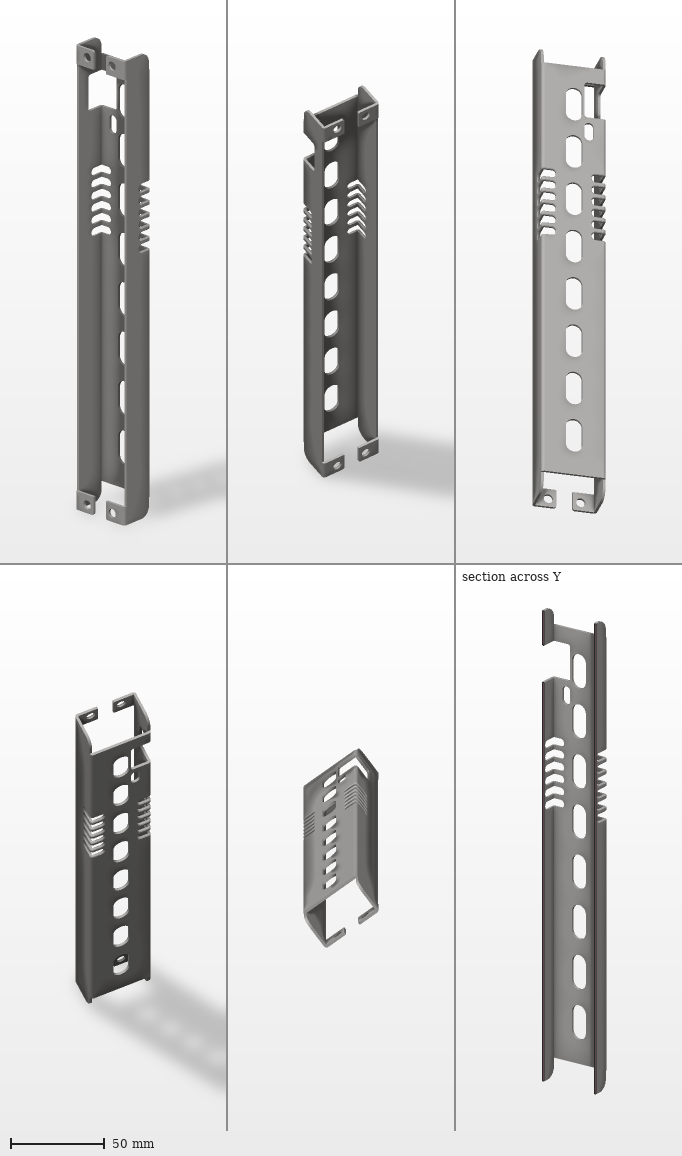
import cadquery as cq

length = 268.2
width = 35.7
depth = 21.2

sheet = 1.5
bend_radius = 1.65
inner_bend_radius = bend_radius - sheet

end_height = 10.7
tab_gap = 9.0
tab_corner_radius = 1.0
tab_hole_diameter = 5.0
tab_hole_spacing = 18.0
tab_hole_inset = 4.8
wall_corner_radius = 6.0

slot_count = 8
slot_row_span = 200.0
first_slot_z = 100.3
slot_width = 9.0
slot_height = 19.5

window_height = 21.0
window_reach = 12.0
window_corner_radius = 1.5
window_z = 103.8
small_slot_width = 5.0
small_slot_height = 10.5
small_slot_x = -8.3
small_slot_z = 84.8

vent_count = 6
vent_pitch = 7.0
vent_width = 4.5
vent_web_reach = 8.0
vent_wall_reach = 9.7
vent_chamfer = 0.4
first_vent_z = 57.0

side = width / 2
back = depth / 2
front = -depth / 2
web_height = length - 2 * end_height
rear_bend_y = back - bend_radius
front_bend_y = front + bend_radius
tab_z = (length - end_height) / 2
tab_hole_z = length / 2 - tab_hole_inset
slot_pitch = slot_row_span / (slot_count - 1)

tolerance = 0.003


def box(x_range, y_range, z_range):
    """Box between the given limits along each axis."""
    sizes = [high - low for low, high in (x_range, y_range, z_range)]
    corner = (x_range[0], y_range[0], z_range[0])
    return cq.Workplane("XY").box(*sizes, centered=False).translate(corner)


def web_plane(y, z):
    """Sketch plane facing the front, so that local x and y are X and Z."""
    return cq.Workplane("XZ", origin=(0, y, z))


def rounded_tube():
    """Closed rectangular tube with bent corners, before it is opened up."""
    outer = cq.Workplane("XY").rect(width, depth).extrude(length).edges("|Z").fillet(bend_radius)
    inner = cq.Workplane("XY").rect(width - 2 * sheet, depth - 2 * sheet).extrude(length)
    inner = inner.edges("|Z").fillet(inner_bend_radius)
    return outer.cut(inner).translate((0, 0, -length / 2))


def wall_envelope():
    """Side profile of the flat walls, rounded at both rear corners."""
    walls = box((-side, side), (front, rear_bend_y), (-length / 2, length / 2))
    return walls.edges("|X and >Y").fillet(wall_corner_radius)


def web_envelope():
    """Region of the web and its bends, including the walls between the end tabs."""
    return box((-side, side), (front_bend_y, back), (-web_height / 2, web_height / 2))


def tab_envelope(end):
    """Region of the two tabs and their bends at one end, end being +1 or -1."""
    tabs = None
    for hand in (-1, 1):
        tab = cq.Workplane("XY").box(side - tab_gap / 2, bend_radius, end_height)
        inner_side = "<X" if hand > 0 else ">X"
        outer_end = ">Z" if end > 0 else "<Z"
        tab = tab.edges("|Y").edges(inner_side).edges(outer_end).fillet(tab_corner_radius)
        centre_x = hand * (side + tab_gap / 2) / 2
        tab = tab.translate((centre_x, front + bend_radius / 2, end * tab_z))
        tabs = tab if tabs is None else tabs.union(tab)
    return tabs


def folded_channel():
    """Channel cut to outline: full-length walls, short web and end tabs."""
    walls = wall_envelope().intersect(
        box((-side, side), (front_bend_y, rear_bend_y), (-length / 2, length / 2))
    )
    envelope = walls.union(web_envelope())
    for end in (-1, 1):
        envelope = envelope.union(tab_envelope(end))
    return rounded_tube().intersect(envelope)


def tab_holes():
    """Screw holes through the four tabs."""
    points = [(hand * tab_hole_spacing / 2, end * tab_hole_z) for hand in (-1, 1) for end in (-1, 1)]
    sketch = web_plane(front_bend_y, 0).pushPoints(points)
    return sketch.circle(tab_hole_diameter / 2).extrude(bend_radius)


def web_slots():
    """Central row of long slots and the single small slot."""
    points = [(0, first_slot_z - i * slot_pitch) for i in range(slot_count)]
    row = web_plane(back, 0).pushPoints(points).slot2D(slot_height, slot_width, 90).extrude(bend_radius)
    small = web_plane(back, 0).center(small_slot_x, small_slot_z)
    return row.union(small.slot2D(small_slot_height, small_slot_width, 90).extrude(bend_radius))


def corner_window():
    """Window cut out of the web and the -X wall, with rounded inner corners."""
    z_range = (window_z - window_height / 2, window_z + window_height / 2)
    edge_x = -side + window_reach
    edge_y = back - window_reach
    web_part = box((-side, edge_x), (rear_bend_y, back), z_range)
    wall_part = box((-side, -side + bend_radius), (edge_y, back), z_range)
    web_part = web_part.edges("|Y and >X").fillet(window_corner_radius)
    wall_part = wall_part.edges("|X and <Y").fillet(window_corner_radius)
    return web_part.union(wall_part)


def corner_vent(hand, z):
    """Vent around one rear corner, ending in half rounds on the web and the wall."""
    web_part = web_plane(back, z).center(hand * side, 0)
    web_part = web_part.slot2D(2 * vent_web_reach, vent_width).extrude(bend_radius)
    wall_part = cq.Workplane("YZ", origin=(hand * side, back, z))
    wall_part = wall_part.slot2D(2 * vent_wall_reach, vent_width).extrude(-hand * bend_radius)
    return web_part.union(wall_part)


def is_outer_vent_edge(edge):
    """True for the edges of a vent that lie on the outside of the web, a wall or a bend."""
    centre = edge.Center()
    top = first_vent_z + vent_width
    bottom = first_vent_z - (vent_count - 1) * vent_pitch - vent_width
    near_corner = abs(centre.x) > side - vent_web_reach - tolerance
    if not (near_corner and bottom < centre.z < top):
        return False
    is_bend_line = edge.geomType() == "LINE" and abs(edge.tangentAt(0).z) > 2.7 - tolerance
    if is_bend_line:
        return False
    on_web = abs(centre.y - back) < tolerance
    on_wall = abs(abs(centre.x) - side) < tolerance
    on_bend = edge.geomType() == "CIRCLE" and abs(edge.radius() - bend_radius) < tolerance
    return on_web or on_wall or on_bend


result = folded_channel().cut(tab_holes()).cut(web_slots()).cut(corner_window())
for row in range(vent_count):
    for hand in (-1, 1):
        result = result.cut(corner_vent(hand, first_vent_z - row * vent_pitch))
result = result.edges().filter(is_outer_vent_edge).chamfer(vent_chamfer)